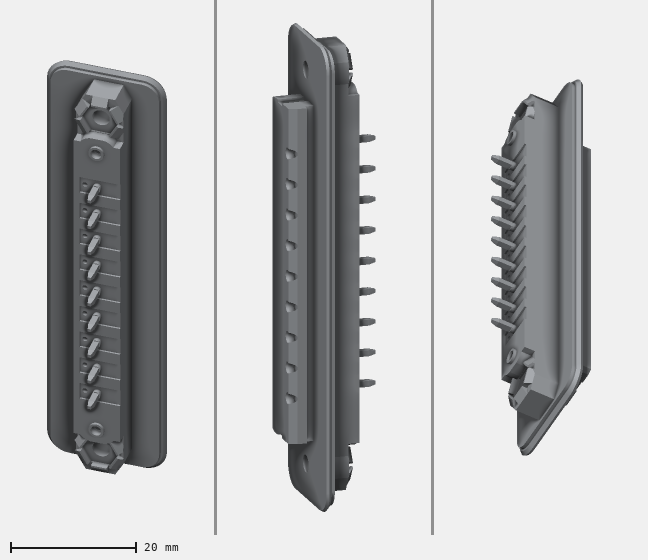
import cadquery as cq
import math


flange_width = 20.0
flange_length = 77.35
flange_corner = 3.9
flange_depth = 1.6
rim_depth = 0.5
rim_rear_bevel = 0.2
rim_chamfer = 0.55
pad_inset = 0.9

axis_x = 0.7
body_width = 7.7
body_left = axis_x - body_width / 2
body_right = axis_x + body_width / 2
screw_z = 32.7
boss_front = 5.9
body_front = 7.7
shoulder_z = 28.9
plateau_z = 29.9
shoulder_half_width = 2.8
plateau_half_width = 1.1
ramp_middle = (2.0, 29.6)

boss_apothem = 4.25
boss_bulge = 4.1
screw_hole_diameter = 2.9
recess_apothem = 2.7
recess_depth = 0.3
tooth_half_width = 1.3
tooth_height = 0.9
tooth_tip_apothem = 3.0
tooth_inner_apothem = recess_apothem
tooth_angles = (30, 90, 150, 210, 330)

standoff_z = 27.3
standoff_diameter = 2.55
standoff_bore = 1.8
standoff_bore_depth = 1.55
standoff_height = 0.5

pin_count = 9
pin_row_length = 40.7
pin_pitch = pin_row_length / (pin_count - 1)
pin_side = 1.0
pin_tip_side = 0.55
pin_length = 3.9
pin_taper = 1.1
collar_diameter = 1.4
collar_height = 0.5
pocket_left = -2.2
pocket_height = 3.0
pocket_depth = 0.3
probe_x = -1.4
probe_diameter = 0.85
probe_depth = 0.6

header_depth = 4.3
header_half_length = 27.85
lip_left = -4.1
lip_top_left = -3.6
lip_under = 1.4
lip_edge = 3.0
end_slot_left = -0.4
end_slot_right = 1.8
end_slot_depth = 0.5
corner_chamfer_width = 0.9
corner_chamfer_height = 0.4
socket_x = -3.2
socket_diameter = 1.9

pin_positions = [(i - (pin_count - 1) / 2) * pin_pitch for i in range(pin_count)]


def front_plane(depth):
    """XZ sketch plane at the given distance in front of the flange rear face; extrudes to -Y."""
    return cq.Workplane("XZ", origin=(0, -depth, 0))


def rod(x, z, start, length, diameter):
    """Round bar along -Y starting at the given depth."""
    return front_plane(start).center(x, z).circle(diameter / 2).extrude(length)


def both_ends(shape):
    """Shape at the +Z end joined with its mirror image at the -Z end."""
    return shape.union(shape.mirror("XY"))


def rounded_slab(start, depth, inset):
    """Plate with the flange outline moved inwards by the inset, rounded at its four corners."""
    return (
        front_plane(start)
        .rect(flange_width - 2 * inset, flange_length - 2 * inset)
        .extrude(depth)
        .edges("|Y")
        .fillet(flange_corner - inset)
    )


def make_flange():
    """Flange with a bevelled rim around a thicker inner pad."""
    rim = rounded_slab(0, rim_depth + rim_chamfer, 0).faces("<Y").chamfer(rim_chamfer)
    bevelled = rounded_slab(0, flange_depth, 0).faces(">Y").chamfer(rim_depth, rim_rear_bevel)
    rim = rim.intersect(bevelled)
    return rim.union(rounded_slab(0, flange_depth, pad_inset))


def make_body():
    """Housing with a base under the bosses and a raised front arched at both ends."""
    base_length = 2 * screw_z
    base = front_plane(0).center(axis_x, 0).rect(body_width, base_length).extrude(boss_front)
    middle_x, middle_z = ramp_middle
    front = (
        front_plane(0)
        .moveTo(body_left, 0)
        .lineTo(body_left, shoulder_z)
        .lineTo(axis_x - shoulder_half_width, shoulder_z)
        .threePointArc((axis_x - middle_x, middle_z), (axis_x - plateau_half_width, plateau_z))
        .lineTo(axis_x + plateau_half_width, plateau_z)
        .threePointArc((axis_x + middle_x, middle_z), (axis_x + shoulder_half_width, shoulder_z))
        .lineTo(body_right, shoulder_z)
        .lineTo(body_right, 0)
        .close()
        .extrude(body_front)
    )
    return base.union(both_ends(front))


def make_boss():
    """Hexagonal boss with a bowed left corner, cut flush with the right side of the body."""
    half_side = boss_apothem * math.tan(math.radians(30))
    side_half_height = (2 * half_side - body_width / 2) / math.tan(math.radians(30))
    return (
        front_plane(0)
        .center(axis_x, screw_z)
        .moveTo(-half_side, boss_apothem)
        .lineTo(half_side, boss_apothem)
        .lineTo(body_width / 2, side_half_height)
        .lineTo(body_width / 2, -side_half_height)
        .lineTo(half_side, -boss_apothem)
        .lineTo(-half_side, -boss_apothem)
        .lineTo(-body_width / 2, -side_half_height)
        .threePointArc((-boss_bulge, 0), (-body_width / 2, side_half_height))
        .close()
        .extrude(boss_front)
    )


def make_tooth(angle):
    """Clamping tooth with a sloped outer face, standing on one side of the hexagon."""
    profile = [
        (tooth_inner_apothem, -boss_front),
        (boss_apothem, -boss_front),
        (tooth_tip_apothem, -boss_front - tooth_height),
        (tooth_inner_apothem, -boss_front - tooth_height),
    ]
    tooth = cq.Workplane("XY").polyline(profile).close().extrude(tooth_half_width, both=True)
    return tooth.rotate((0, 0, 0), (0, -1, 0), angle).translate((axis_x, 0, screw_z))


def make_screw_end():
    """Boss and its teeth, with the teeth trimmed to the right side of the body."""
    teeth = make_tooth(tooth_angles[0])
    for angle in tooth_angles[1:]:
        teeth = teeth.union(make_tooth(angle))
    beyond_right_face = (
        front_plane(boss_front)
        .center(body_right + boss_apothem / 2, screw_z)
        .rect(boss_apothem, 2 * boss_apothem)
        .extrude(tooth_height)
    )
    return make_boss().union(teeth.cut(beyond_right_face))


def make_standoff():
    return rod(axis_x, standoff_z, body_front, standoff_height, standoff_diameter)


def make_standoff_bore():
    start = body_front + standoff_height - standoff_bore_depth
    return rod(axis_x, standoff_z, start, standoff_bore_depth, standoff_bore)


def make_screw_hole():
    """Hole through boss and flange, under a shallow hexagonal recess in the boss."""
    recess_corner_diameter = 2 * recess_apothem / math.cos(math.radians(30))
    recess = (
        front_plane(boss_front - recess_depth)
        .center(axis_x, screw_z)
        .polygon(6, recess_corner_diameter)
        .extrude(recess_depth)
    )
    return recess.union(rod(axis_x, screw_z, 0, boss_front, screw_hole_diameter))


def make_header():
    """Header with a latching lip on the left, slotted ends and one half-open socket per pin."""
    profile = [
        (body_left, 0),
        (body_left, lip_under),
        (lip_left, lip_under),
        (lip_left, lip_edge),
        (lip_top_left, header_depth),
        (body_right, header_depth),
        (body_right, 0),
    ]
    header = cq.Workplane("XY").polyline(profile).close().extrude(header_half_length, both=True)
    slot = (
        front_plane(-header_depth)
        .moveTo((end_slot_left + end_slot_right) / 2, header_half_length)
        .rect(end_slot_right - end_slot_left, 2 * end_slot_depth)
        .extrude(header_depth)
    )
    corner = (
        front_plane(-header_depth)
        .moveTo(body_right, header_half_length)
        .lineTo(body_right - corner_chamfer_width, header_half_length)
        .lineTo(body_right, header_half_length - corner_chamfer_height)
        .close()
        .extrude(header_depth)
    )
    header = header.cut(both_ends(slot)).cut(both_ends(corner))
    for z in pin_positions:
        header = header.cut(rod(socket_x, z, -header_depth, header_depth - lip_edge, socket_diameter))
    return header


def make_pocket(z):
    """Shallow recess around one pin, open to the right side, with a round probe hole in its floor."""
    recess = (
        front_plane(body_front - pocket_depth)
        .center((pocket_left + body_right) / 2, z)
        .rect(body_right - pocket_left, pocket_height)
        .extrude(pocket_depth)
    )
    probe_start = body_front - pocket_depth - probe_depth
    return recess.union(rod(probe_x, z, probe_start, probe_depth, probe_diameter))


def make_pin(z):
    """Square pin with a tapered tip and a round collar at its root."""
    floor = body_front - pocket_depth
    collar = rod(axis_x, z, floor, pocket_depth + collar_height, collar_diameter)
    straight = body_front + pin_length - pin_taper - floor
    shaft = front_plane(floor).center(axis_x, z).rect(pin_side, pin_side).extrude(straight)
    tip = (
        front_plane(floor + straight)
        .center(axis_x, z)
        .rect(pin_side, pin_side)
        .workplane(offset=pin_taper)
        .rect(pin_tip_side, pin_tip_side)
        .loft()
    )
    return collar.union(shaft).union(tip)


result = make_flange().union(make_body()).union(make_header())
result = result.union(both_ends(make_screw_end()))
result = result.union(both_ends(make_standoff()))
result = result.cut(both_ends(make_screw_hole())).cut(both_ends(make_standoff_bore()))

for pin_z in pin_positions:
    result = result.cut(make_pocket(pin_z)).union(make_pin(pin_z))